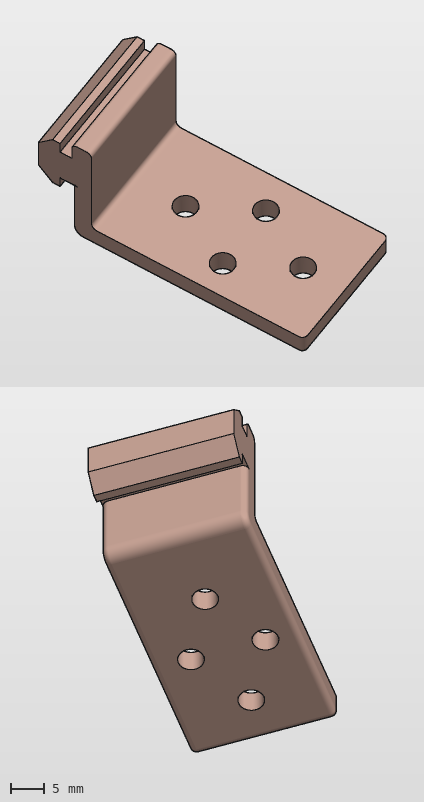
import cadquery as cq

length = 47.45
width = 23.0
height = 22.2

base_thickness = 4.0
wall_thickness = 3.55
wall_left = 6.0
wall_right = wall_left + wall_thickness
edge_radius = 1.0
heel_radius = 2 * edge_radius
inner_radius = 1.0
wall_top_radius = 1.0

rail_mid_z = 15.55
rail_height = 10.65
rail_face_height = 5.5
neck_height = 6.4
rail_flat_start = 2.55
lip_right = 3.9

hole_diameter = 4.0
hole_center_x = 29.45
hole_center_y = -0.4
hole_offset_x = 10.5
hole_offset_y = 5.9

TOLERANCE = 0.005


def make_bracket():
    """L-shaped plate up to the neck, with a rounded heel, outer rim and end corners."""
    bracket = (
        cq.Workplane("XZ")
        .moveTo(wall_left, 0)
        .lineTo(length, 0)
        .lineTo(length, base_thickness)
        .lineTo(wall_right, base_thickness)
        .lineTo(wall_right, rail_mid_z)
        .lineTo(wall_left, rail_mid_z)
        .close()
        .extrude(width / 2, both=True)
    )
    bracket = bracket.faces(">X").edges("|Z").fillet(edge_radius)
    bracket = bracket.faces("<X").edges("<Z").fillet(heel_radius)
    bracket = bracket.faces("<Z").edges(">X").fillet(edge_radius)
    inner_corner = cq.selectors.BoxSelector(
        (wall_right - TOLERANCE, -width, base_thickness - TOLERANCE),
        (wall_right + TOLERANCE, width, base_thickness + TOLERANCE),
    )
    return bracket.edges(inner_corner).fillet(inner_radius)


def make_rail_wall():
    """Full-width T-shaped head with chamfered corners, and the square-sided wall above its neck."""
    half_face = rail_face_height / 2
    half_rail = rail_height / 2
    half_neck = neck_height / 2
    upper_half = [
        (0, half_face),
        (rail_flat_start, half_rail),
        (lip_right, half_rail),
        (lip_right, half_neck),
        (wall_left, half_neck),
    ]
    top = [(x, rail_mid_z + z) for x, z in upper_half]
    bottom = [(x, rail_mid_z - z) for x, z in reversed(upper_half)]
    wall_end = [
        (wall_left, height),
        (wall_right, height),
        (wall_right, rail_mid_z - half_neck),
    ]
    head = (
        cq.Workplane("XZ")
        .polyline(top + wall_end + bottom)
        .close()
        .extrude(width / 2, both=True)
    )
    return head.faces(">Z").edges("|Y").fillet(wall_top_radius)


def make_holes():
    """Through-hole cutters arranged as a diamond."""
    centers = [
        (hole_center_x - hole_offset_x, hole_center_y),
        (hole_center_x + hole_offset_x, hole_center_y),
        (hole_center_x, hole_center_y - hole_offset_y),
        (hole_center_x, hole_center_y + hole_offset_y),
    ]
    return (
        cq.Workplane("XY")
        .pushPoints(centers)
        .circle(hole_diameter / 2)
        .extrude(base_thickness)
    )


result = make_bracket().union(make_rail_wall()).cut(make_holes())